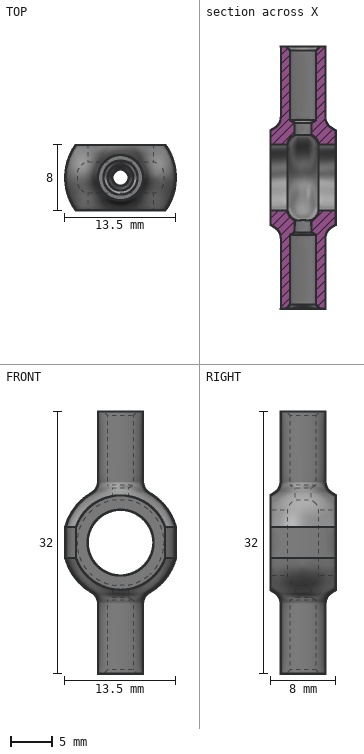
import cadquery as cq
import math

length = 32.0
width = 13.5
thickness = 8.0

ball_radius = 7.0
stem_radius = 5.5 / 2
neck_fillet = 1.5

cross_bore_radius = 8.0 / 2
groove_width = 3.85
groove_corner = 1.5
groove_depth = 1.28

port_radius = 3.15 / 2
port_depth = 9.0
port_chamfer = 0.5
passage_radius = 2.0 / 2
drill_tip_angle = 118.0


def make_body():
    """Revolved ball with stems, trimmed flat on Y and cylindrical on X."""
    half_length = length / 2
    arc_center_r = stem_radius + neck_fillet
    center_distance = ball_radius + neck_fillet
    arc_center_z = math.sqrt(center_distance**2 - arc_center_r**2)
    tangent_r = arc_center_r * ball_radius / center_distance
    tangent_z = arc_center_z * ball_radius / center_distance

    mid_angle = math.atan2(arc_center_z, arc_center_r) / 2
    mid_r = arc_center_r - neck_fillet * math.cos(mid_angle)
    mid_z = arc_center_z - neck_fillet * math.sin(mid_angle)

    body = (
        cq.Workplane("XZ")
        .moveTo(0, half_length)
        .lineTo(stem_radius, half_length)
        .lineTo(stem_radius, arc_center_z)
        .threePointArc((mid_r, mid_z), (tangent_r, tangent_z))
        .threePointArc((ball_radius, 0), (tangent_r, -tangent_z))
        .threePointArc((mid_r, -mid_z), (stem_radius, -arc_center_z))
        .lineTo(stem_radius, -half_length)
        .lineTo(0, -half_length)
        .close()
        .revolve(360, (0, 0, 0), (0, 1, 0))
    )
    envelope = cq.Workplane("XY").circle(width / 2).extrude(half_length, both=True)
    slab = cq.Workplane("XY").box(width, thickness, length)
    return body.intersect(envelope).intersect(slab)


def make_cross_bore():
    """Through bore along Y, widened by a groove with rounded outer corners."""
    bore = cq.Workplane("XZ").circle(cross_bore_radius).extrude(thickness / 2, both=True)
    groove = (
        cq.Workplane("XZ")
        .circle(cross_bore_radius + groove_depth)
        .extrude(groove_width / 2, both=True)
        .edges()
        .fillet(groove_corner)
    )
    return bore.union(groove)


def make_port():
    """Upper stem bore: chamfered mouth, conical bottom and narrow passage."""
    mouth_z = length / 2
    bottom_z = mouth_z - port_depth
    tip_half_angle = math.radians(drill_tip_angle / 2)
    cone_height = (port_radius - passage_radius) / math.tan(tip_half_angle)
    return (
        cq.Workplane("XZ")
        .polyline([
            (0, 0),
            (passage_radius, 0),
            (passage_radius, bottom_z - cone_height),
            (port_radius, bottom_z),
            (port_radius, mouth_z - port_chamfer),
            (port_radius + port_chamfer, mouth_z),
            (0, mouth_z),
        ])
        .close()
        .revolve(360, (0, 0, 0), (0, 1, 0))
    )


upper_port = make_port()
lower_port = upper_port.mirror("XY")
result = make_body().cut(make_cross_bore()).cut(upper_port).cut(lower_port)